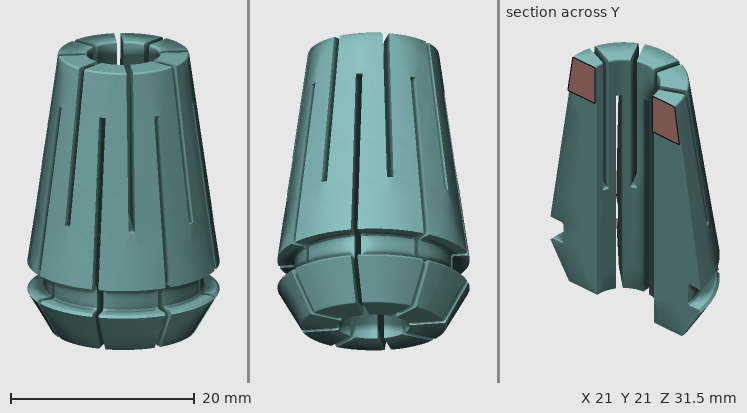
import cadquery as cq
import math

length = 31.5
max_radius = 10.5
bore_radius = 7.95 / 2

taper_half_angle = 8.0
taper_base_z = 7.62
taper_top_radius = max_radius - (length - taper_base_z) * math.tan(math.radians(taper_half_angle))

groove_radius = 8.7
groove_bottom_z = 4.75
groove_root_chamfer = 0.2

nose_half_angle = 30.0
nose_top_z = 4.47
nose_base_radius = max_radius - nose_top_z * math.tan(math.radians(nose_half_angle))
flange_chamfer = groove_bottom_z - nose_top_z

top_edge_fillet = 0.25
nose_edge_fillet = 0.2

slots_per_end = 8
slot_width = 0.72
slot_overrun = 0.3
slot_pitch = 360.0 / slots_per_end
bottom_slot_top_z = 26.52
top_slot_floor_z = 13.95


def make_body():
    """Revolve the collet profile, already bored through, around Z, and round its end edges."""
    profile = [
        (bore_radius, 0),
        (nose_base_radius, 0),
        (max_radius, nose_top_z),
        (max_radius - flange_chamfer, groove_bottom_z),
        (groove_radius + groove_root_chamfer, groove_bottom_z),
        (groove_radius, groove_bottom_z + groove_root_chamfer),
        (groove_radius, taper_base_z - groove_root_chamfer),
        (groove_radius + groove_root_chamfer, taper_base_z),
        (max_radius, taper_base_z),
        (taper_top_radius, length),
        (bore_radius, length),
    ]
    body = cq.Workplane("XZ").polyline(profile).close().revolve(360, (0, 0, 0), (0, 1, 0))
    body = body.faces(">Z").edges().fillet(top_edge_fillet)
    nose_edge = cq.selectors.RadiusNthSelector(-1)
    return body.faces("<Z").edges(nose_edge).fillet(nose_edge_fillet)


def make_slots(start_angle, bottom_z, top_z):
    """Make a ring of radial blades, spaced evenly around Z, that cut from the bore outward."""
    blade = cq.Workplane("XY").box(
        max_radius + slot_overrun, slot_width, top_z - bottom_z, centered=(False, True, False)
    )
    blade = blade.translate((0, 0, bottom_z))
    slots = blade.rotate((0, 0, 0), (0, 0, 1), start_angle)
    for index in range(1, slots_per_end):
        angle = start_angle + index * slot_pitch
        slots = slots.union(blade.rotate((0, 0, 0), (0, 0, 1), angle))
    return slots


bottom_slots = make_slots(0, 0, bottom_slot_top_z)
top_slots = make_slots(slot_pitch / 2, top_slot_floor_z, length)
result = make_body().cut(bottom_slots).cut(top_slots)